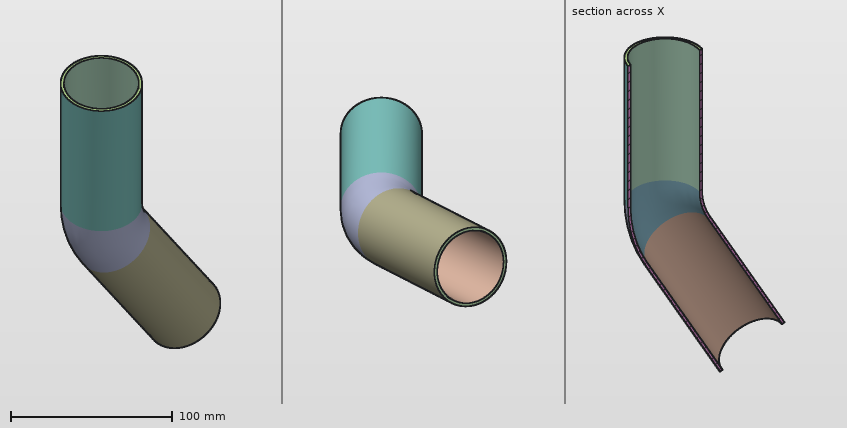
import cadquery as cq
import math

outer_diameter = 50.8
inner_diameter = 46.5
leg_length = 101.5
bend_radius = 63.7
bend_angle = 30.0


def bend_point(angle_degrees):
    """Point on the bend centreline in (Y, Z), measured from the upper end of the bend."""
    angle = math.radians(angle_degrees)
    return (bend_radius * (1 - math.cos(angle)), -bend_radius * math.sin(angle))


bend_end_y, bend_end_z = bend_point(bend_angle)
lower_end = (
    bend_end_y + leg_length * math.sin(math.radians(bend_angle)),
    bend_end_z - leg_length * math.cos(math.radians(bend_angle)),
)
centreline = (
    cq.Workplane("YZ")
    .moveTo(0, leg_length)
    .lineTo(0, 0)
    .threePointArc(bend_point(bend_angle / 2), (bend_end_y, bend_end_z))
    .lineTo(*lower_end)
)

result = (
    cq.Workplane("XY", origin=(0, 0, leg_length))
    .circle(outer_diameter / 2)
    .circle(inner_diameter / 2)
    .sweep(centreline)
)